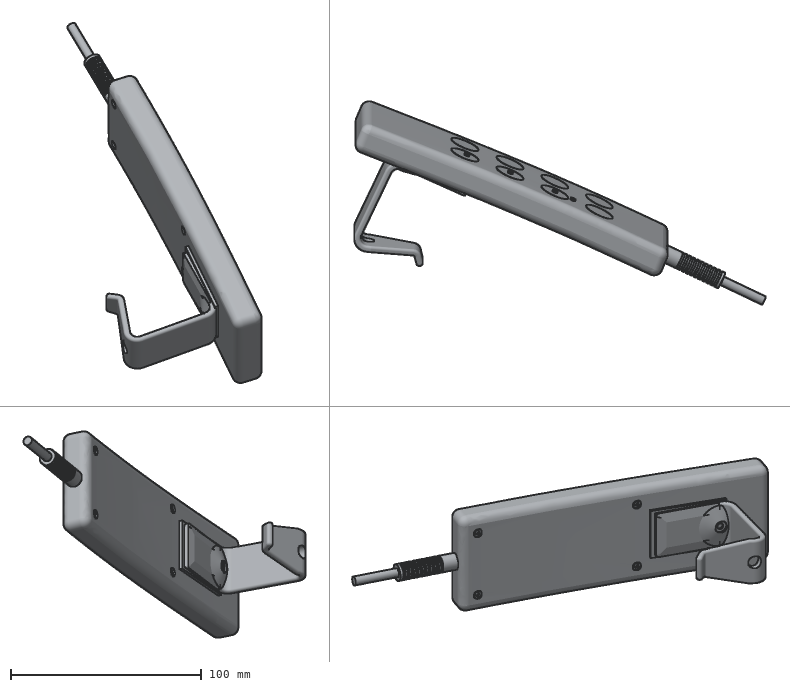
import cadquery as cq
import math

TOTAL_LENGTH = 233.3
BODY_START = 58.3
BODY_THICKNESS = 16.0
BODY_HEIGHT = 55.0
BODY_EDGE_RADIUS = 4.5
BEND_START = 189.7
BEND_DROP = 5.0

BEND_RUN = BEND_START - BODY_START
BEND_MIDDLE = BODY_START + BEND_RUN / 2
BEND_RADIUS = (BEND_RUN**2 + BEND_DROP**2) / (2 * BEND_DROP)
BEND_ANGLE = math.asin(BEND_RUN / BEND_RADIUS)

CABLE_RADIUS = 2.45
RELIEF_RADIUS = 4.55
RELIEF_START = 24.7
GROOVE_COUNT = 10
GROOVE_PITCH = 2.4
GROOVE_WIDTH = 1.2
GROOVE_DEPTH = 0.7
FIRST_GROOVE = 26.5
CABLE_INSERTION = 7.0

SCREW_XS = (68.4, 158.6)
SCREW_Z = 18.0
SCREW_HEAD_RADIUS = 2.3
SCREW_SOCKET_RADIUS = 1.2
SCREW_STEP = 1.2

BUTTON_XS = (99.4, 125.0, 150.7, 176.4)
PIP_XS = (114.8, 125.0, 150.7, 175.5)
BUTTON_Z = 10.5
BUTTON_RADIUS = 7.7
BUTTON_RISE = 0.12
PIP_RADIUS = 1.5
PIP_RISE = 0.82
BUTTON_ROOT = 2.3

PAD_START = 165.9
PAD_END = 208.0
PAD_HEIGHT = 27.3
PAD_THICKNESS = 1.9

CLIP_START = 168.0
CLIP_LEAN = 2.8
STRIP_THICKNESS = 3.5
STRIP_HEIGHT = 25.5
STRIP_EDGE_RADIUS = 1.5
PLATE_CORNER_RADIUS = 2.3
PLATE_LENGTH = 42.0
WALL_LENGTH = 50.6
ARM_LENGTH = 34.0
ARM_ANGLE = 17.0
LIP_LENGTH = 7.7
TIP_RADIUS = 1.6
LIP_ANGLE = 51.0
PLATE_BEND_RADIUS = 4.2
FOOT_BEND_RADIUS = 3.7
LIP_BEND_RADIUS = 1.0
TIP_HEIGHT = 14.0
TAPER_START = 200.6
TAPER_END = 175.0
PLATE_BEVEL_WIDTH = 5.4
PLATE_BEVEL_DEPTH = 1.2
DOME_X = 203.5
DOME_BASE_RADIUS = 11.7
DOME_TOP_RADIUS = 4.0
DOME_RISE = 2.3
CLIP_SCREW_RADIUS = 3.3
CLIP_SOCKET_RADIUS = 1.6
ARM_HOLE_X = 203.2
ARM_HOLE_RADIUS = 3.5
ARM_HOLE_TOP = -45.5


def bend_offset(x):
    """Y shift of the bent body's faces at a given x."""
    run = max(BEND_START - x, 0.0)
    return math.sqrt(BEND_RADIUS**2 - run**2) - BEND_RADIUS


def facing_front(x, y, z):
    """Workplane at a point, with its normal towards -Y."""
    return cq.Workplane(cq.Plane(origin=(x, y, z), xDir=(1, 0, 0), normal=(0, -1, 0)))


def make_body():
    bend_xs = (BODY_START, BEND_MIDDLE, BEND_START, TOTAL_LENGTH)
    front = [(x, bend_offset(x)) for x in bend_xs]
    back = [(x, BODY_THICKNESS + y) for x, y in reversed(front)]
    bent_end = (math.cos(BEND_ANGLE), math.sin(BEND_ANGLE))
    return (
        cq.Workplane("XY")
        .moveTo(*front[0])
        .spline(front[1:], tangents=[bent_end, (1, 0)], includeCurrent=True)
        .lineTo(*back[0])
        .spline(back[1:], tangents=[(-1, 0), (-bent_end[0], -bent_end[1])], includeCurrent=True)
        .close()
        .extrude(BODY_HEIGHT)
        .translate((0, 0, -BODY_HEIGHT / 2))
        .edges()
        .fillet(BODY_EDGE_RADIUS)
    )


def make_cable():
    """Cable and grooved strain relief, in line with the tangent of the body's bent end."""
    end_y = BODY_THICKNESS / 2 - BEND_DROP - BODY_START * math.tan(BEND_ANGLE)
    end_x = CABLE_RADIUS * math.sin(BEND_ANGLE)
    stretch = 1 / math.cos(BEND_ANGLE)
    axis = cq.Plane(
        origin=(end_x, end_y, 0),
        xDir=(0, 0, 1),
        normal=(math.cos(BEND_ANGLE), math.sin(BEND_ANGLE), 0),
    )

    def rod(start_x, stop_x, radius):
        start = start_x * stretch
        return cq.Workplane(axis).workplane(offset=start).circle(radius).extrude(stop_x * stretch - start)

    buried_end = BODY_START + CABLE_INSERTION
    relief = rod(RELIEF_START, buried_end, RELIEF_RADIUS)
    for index in range(GROOVE_COUNT):
        start = FIRST_GROOVE + index * GROOVE_PITCH
        core = rod(start, start + GROOVE_WIDTH, RELIEF_RADIUS - GROOVE_DEPTH)
        relief = relief.cut(rod(start, start + GROOVE_WIDTH, 2 * RELIEF_RADIUS).cut(core))
    return relief.union(rod(0, buried_end, CABLE_RADIUS))


def make_recess(x, y, z, head_radius, socket_radius):
    """Stepped screw recess: a round head pocket with a smaller socket in its floor."""
    mouth = facing_front(x, y, z)
    head = mouth.circle(head_radius).extrude(SCREW_STEP, both=True)
    return head.union(mouth.circle(socket_radius).extrude(-2 * SCREW_STEP))


def make_button(x, z, radius, rise):
    """Disc standing square on the bent back face, rooted inside the body."""
    slope = math.asin(max(BEND_START - x, 0.0) / BEND_RADIUS)
    face = cq.Plane(
        origin=(x, BODY_THICKNESS + bend_offset(x), z),
        xDir=(0, 0, 1),
        normal=(-math.sin(slope), math.cos(slope), 0),
    )
    return cq.Workplane(face).workplane(offset=-BUTTON_ROOT).circle(radius).extrude(BUTTON_ROOT + rise)


def make_buttons():
    """Two rows of round buttons, with small pips along the lower row."""
    buttons = cq.Workplane("XY")
    for x in BUTTON_XS:
        for z in (-BUTTON_Z, BUTTON_Z):
            buttons = buttons.union(make_button(x, z, BUTTON_RADIUS, BUTTON_RISE))
    for x in PIP_XS:
        buttons = buttons.union(make_button(x, -BUTTON_Z, PIP_RADIUS, PIP_RISE))
    return buttons


def make_pad():
    length = PAD_END - PAD_START
    return cq.Workplane("XY").box(length, 2 * PAD_THICKNESS, PAD_HEIGHT).translate((PAD_START + length / 2, 0, 0))


def ribbon_outline(points, thickness):
    """Left and right sides of a strip of even thickness along an open centre line."""
    headings = [math.atan2(b[1] - a[1], b[0] - a[0]) for a, b in zip(points, points[1:])]
    befores = [headings[0]] + headings
    afters = headings + [headings[-1]]
    left, right = [], []
    for (x, y), before, after in zip(points, befores, afters):
        turn = (after - before + math.pi) % (2 * math.pi) - math.pi
        reach = thickness / 2 / math.cos(turn / 2)
        side = before + turn / 2 + math.pi / 2
        left.append((x + reach * math.cos(side), y + reach * math.sin(side)))
        right.append((x - reach * math.cos(side), y - reach * math.sin(side)))
    return left, right


def make_strip():
    """Bent strip: plate, wall, tapered arm and turned-down lip."""
    arm = math.radians(ARM_ANGLE)
    lip = math.radians(LIP_ANGLE)
    plate_y = -PAD_THICKNESS - STRIP_THICKNESS / 2
    wall_x = CLIP_START + PLATE_LENGTH
    foot_y = plate_y - WALL_LENGTH
    crest = (wall_x - ARM_LENGTH * math.cos(arm), foot_y + ARM_LENGTH * math.sin(arm))
    tip = (crest[0] - LIP_LENGTH * math.cos(lip), crest[1] - LIP_LENGTH * math.sin(lip))
    centre = [(CLIP_START, plate_y), (wall_x, plate_y), (wall_x, foot_y), crest, tip]
    left, right = ribbon_outline(centre, STRIP_THICKNESS)
    strip = cq.Workplane("XY").polyline(left + right[::-1]).close().extrude(STRIP_HEIGHT)
    strip = strip.translate((0, 0, -STRIP_HEIGHT / 2))

    roundings = (
        (right[1], PLATE_BEND_RADIUS),
        (left[1], PLATE_BEND_RADIUS + STRIP_THICKNESS),
        (right[2], FOOT_BEND_RADIUS),
        (left[2], FOOT_BEND_RADIUS + STRIP_THICKNESS),
        (left[3], LIP_BEND_RADIUS),
        (right[3], LIP_BEND_RADIUS + STRIP_THICKNESS),
        (left[4], TIP_RADIUS),
        (right[4], TIP_RADIUS),
    )
    for (x, y), radius in roundings:
        strip = strip.edges(cq.NearestToPointSelector((x, y, 0))).fillet(radius)
    strip = strip.cut(make_arm_taper(foot_y + WALL_LENGTH / 2))
    return strip.edges("not |Z").fillet(STRIP_EDGE_RADIUS)


def make_arm_taper(top_y):
    """Waste on both sides of the arm and lip, narrowing them towards the tip."""
    half = STRIP_HEIGHT / 2
    slope = (half - TIP_HEIGHT / 2) / (TAPER_START - TAPER_END)
    run = TAPER_START - CLIP_START + LIP_LENGTH
    waste = cq.Workplane("XY")
    for side in (-1, 1):
        wedge = (
            facing_front(TAPER_START, top_y, 0)
            .moveTo(0, side * half)
            .lineTo(-run, side * (half - slope * run))
            .lineTo(-run, side * half)
            .close()
            .extrude(WALL_LENGTH)
        )
        waste = waste.union(wedge)
    return waste


def make_plate_bevel():
    """Waste that bevels the plate's front face along its free end and both sides."""
    front_y = -PAD_THICKNESS - STRIP_THICKNESS
    taper = math.degrees(math.atan(PLATE_BEVEL_WIDTH / PLATE_BEVEL_DEPTH))
    base = facing_front(CLIP_START, front_y + PLATE_BEVEL_DEPTH, 0)
    length = DOME_X - CLIP_START
    block = base.rect(2 * length, 2 * STRIP_HEIGHT).extrude(2 * PLATE_BEVEL_DEPTH)
    frustum = (
        base.sketch()
        .push([(2 * length, 0)])
        .rect(4 * length, STRIP_HEIGHT)
        .reset()
        .vertices()
        .fillet(PLATE_CORNER_RADIUS)
        .finalize()
        .extrude(PLATE_BEVEL_DEPTH, taper=taper)
    )
    return block.cut(frustum)


def make_dome():
    """Shallow cone around the clip screw, ending inside the clip's wall."""
    front_y = -PAD_THICKNESS - STRIP_THICKNESS
    slope = math.degrees(math.atan((DOME_BASE_RADIUS - DOME_TOP_RADIUS) / DOME_RISE))
    cone = facing_front(DOME_X, front_y, 0).circle(DOME_BASE_RADIUS).extrude(DOME_RISE, taper=slope)
    reach = CLIP_START + PLATE_LENGTH - DOME_X
    keep = facing_front(DOME_X + reach - DOME_BASE_RADIUS, front_y, 0)
    return cone.intersect(keep.rect(2 * DOME_BASE_RADIUS, 2 * DOME_BASE_RADIUS).extrude(DOME_RISE))


def make_clip():
    dome_top = -PAD_THICKNESS - STRIP_THICKNESS - DOME_RISE
    clip = make_strip().cut(make_plate_bevel()).union(make_dome())
    clip = clip.cut(make_recess(DOME_X, dome_top, 0, CLIP_SCREW_RADIUS, CLIP_SOCKET_RADIUS))
    arm_hole = facing_front(ARM_HOLE_X, ARM_HOLE_TOP, 0).circle(ARM_HOLE_RADIUS).extrude(WALL_LENGTH)
    clip = clip.cut(arm_hole)
    pivot = (CLIP_START, -PAD_THICKNESS)
    return clip.rotate((*pivot, 0), (*pivot, 1), CLIP_LEAN)


result = make_body().union(make_buttons()).union(make_cable()).union(make_pad()).union(make_clip())
for screw_x in SCREW_XS:
    for screw_z in (-SCREW_Z, SCREW_Z):
        recess = make_recess(screw_x, bend_offset(screw_x), screw_z, SCREW_HEAD_RADIUS, SCREW_SOCKET_RADIUS)
        result = result.cut(recess)